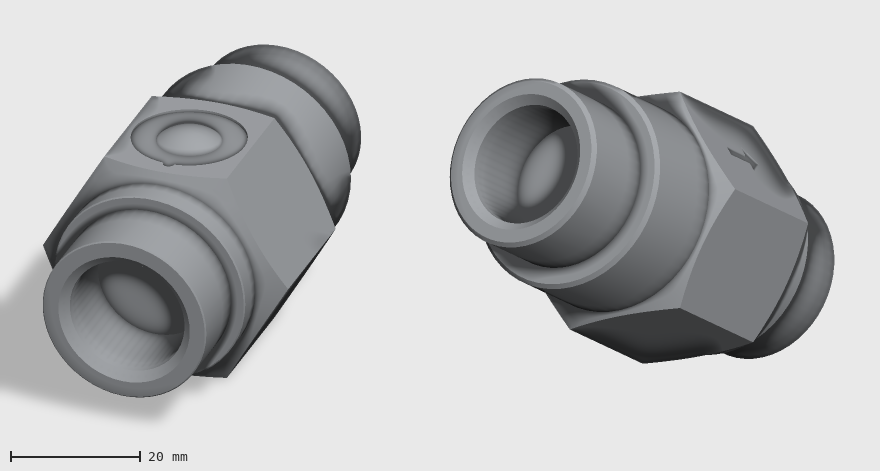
import cadquery as cq
import math

length = 68.5
front_y = -length / 2
back_y = length / 2
collar_front_y = front_y + 11.0
hex_front_y = front_y + 15.55
hex_back_y = front_y + 40.95
sleeve_back_y = front_y + 55.5

pipe_radius = 13.5
collar_radius = 15.75
sleeve_radius = 16.7
bore_radius = 9.45
bore_mouth_radius = 10.8
bore_depth = 13.7
bore_mouth_depth = 1.4
small_chamfer = 0.2
large_chamfer = 0.6

across_flats = 35.0
flat_distance = across_flats / 2
corner_radius = flat_distance / math.cos(math.radians(30))
bevel_slope = math.tan(math.radians(30))

plug_y = -5.75
plug_radius = 9.05
plug_recess = 0.5
notch_radius = 0.9
dome_radius = 5.15
total_height = 36.3
dome_top_z = total_height - flat_distance

arrow_tail_y = -1.4
arrow_head_y = -6.7
arrow_tip_y = -10.0
arrow_shaft_half_width = 0.9
arrow_head_half_width = 2.55
arrow_depth = 0.2
arrow_wall_inset = 0.3
arrow_wall_taper = math.degrees(math.atan2(arrow_wall_inset, arrow_depth))
arrow_face_tilt = -60


def cylinder(y_start, y_end, radius):
    """Cylinder about the Y axis."""
    circle = cq.Workplane("XZ", origin=(0, y_start, 0)).circle(radius)
    return circle.extrude(y_start - y_end)


def hexagon():
    """Hexagonal body with flats up and down and 30 degree bevels at both ends."""
    prism = (
        cq.Workplane("XZ", origin=(0, hex_front_y, 0))
        .polygon(6, 2 * corner_radius)
        .extrude(hex_front_y - hex_back_y)
    )
    front_bevel = (corner_radius - collar_radius) * bevel_slope
    back_bevel = (corner_radius - sleeve_radius) * bevel_slope
    bevel_envelope = (
        cq.Workplane("XY")
        .moveTo(0, hex_front_y)
        .lineTo(collar_radius, hex_front_y)
        .lineTo(corner_radius, hex_front_y + front_bevel)
        .lineTo(corner_radius, hex_back_y - back_bevel)
        .lineTo(sleeve_radius, hex_back_y)
        .lineTo(0, hex_back_y)
        .close()
        .revolve(360, (0, 0, 0), (0, 1, 0))
    )
    return prism.intersect(bevel_envelope)


def body():
    """Hexagon with its collar, sleeve and two pipe ends."""
    front_pipe = cylinder(front_y, hex_front_y, pipe_radius).faces("<Y").chamfer(small_chamfer)
    collar = cylinder(collar_front_y, hex_front_y, collar_radius).faces("<Y").chamfer(small_chamfer)
    sleeve = cylinder(hex_back_y, sleeve_back_y, sleeve_radius).faces(">Y").chamfer(large_chamfer)
    back_pipe = cylinder(hex_back_y, back_y, pipe_radius).faces(">Y").chamfer(large_chamfer)
    return hexagon().union(front_pipe).union(collar).union(sleeve).union(back_pipe)


def bore(end_y, inward):
    """Blind bore with a conical mouth; inward is +1 or -1 along Y."""
    mouth_y = end_y + inward * bore_mouth_depth
    floor_y = end_y + inward * bore_depth
    return (
        cq.Workplane("XY")
        .moveTo(0, end_y)
        .lineTo(bore_mouth_radius, end_y)
        .lineTo(bore_radius, mouth_y)
        .lineTo(bore_radius, floor_y)
        .lineTo(0, floor_y)
        .close()
        .revolve(360, (0, 0, 0), (0, 1, 0))
    )


def plug_pocket():
    """Shallow round recess with a small notch on its front edge."""
    floor = cq.Workplane("XY", origin=(0, plug_y, flat_distance - plug_recess))
    disc = floor.circle(plug_radius).extrude(plug_recess)
    notch = floor.center(0, -plug_radius).circle(notch_radius).extrude(plug_recess)
    return disc.union(notch)


def dome():
    """Spherical cap standing on the recess floor."""
    floor_z = flat_distance - plug_recess
    cap_height = dome_top_z - floor_z
    sphere_radius = (dome_radius**2 + cap_height**2) / (2 * cap_height)
    sphere = cq.Workplane("XY", origin=(0, plug_y, dome_top_z - sphere_radius)).sphere(sphere_radius)
    column = (
        cq.Workplane("XY", origin=(0, plug_y, floor_z - plug_recess))
        .circle(dome_radius)
        .extrude(cap_height + 2 * plug_recess)
    )
    return sphere.intersect(column)


def flow_arrow():
    """Engraved arrow with sloping walls, pointing to the front end."""
    upper_half = [
        (arrow_shaft_half_width, arrow_tail_y),
        (arrow_shaft_half_width, arrow_head_y),
        (arrow_head_half_width, arrow_head_y),
    ]
    lower_half = [(-x, y) for x, y in reversed(upper_half)]
    arrow = (
        cq.Workplane("XY", origin=(0, 0, flat_distance))
        .polyline(upper_half + [(0, arrow_tip_y)] + lower_half)
        .close()
        .extrude(-arrow_depth, taper=arrow_wall_taper)
    )
    return arrow.rotate((0, 0, 0), (0, 1, 0), arrow_face_tilt)


result = (
    body()
    .cut(bore(front_y, 1))
    .cut(bore(back_y, -1))
    .cut(plug_pocket())
    .union(dome())
    .cut(flow_arrow())
)